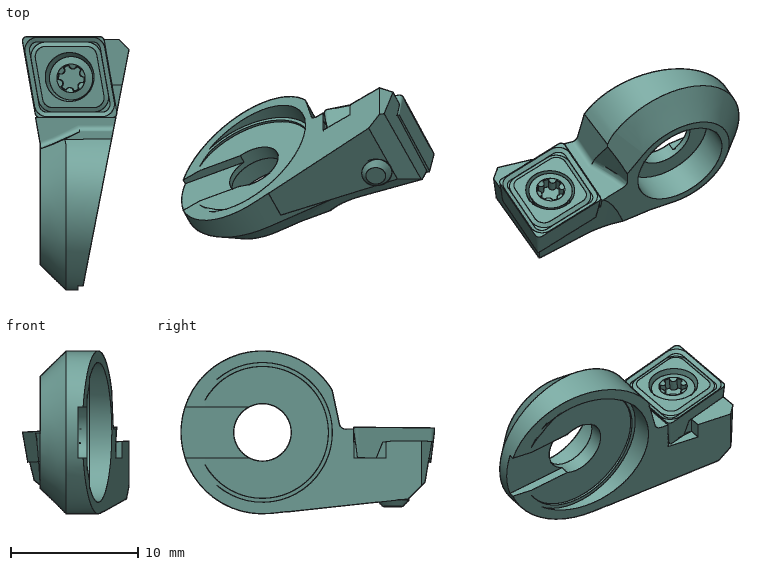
import cadquery as cq
import math

OVERALL_LENGTH = 19.9

RING_DIAMETER = 12.8
RING_RADIUS = RING_DIAMETER / 2
FACE_RADIUS = 4.4
BEVEL_DEPTH = 2.05
FRONT_BORE_DIAMETER = 7.5
FRONT_BORE_DEPTH = 2.5
CENTRE_HOLE_DIAMETER = 4.5
REAR_BORE_DIAMETER = 10.96
REAR_STEP_DIAMETER = 10.35
REAR_FLOOR_X = 3.68
REAR_STEP_X = 3.86
SHOULDER_ANGLE = 43.0
FOOT_ANGLE = 6.2
SHOULDER_LENGTH = 3.98
FOOT_LENGTH = 9.95

REAR_SLANT = 11.0
REAR_X = 4.55
KEY_WIDTH = 4.02
RING_KEY_X = 2.98
ARM_KEY_X = 5.61
ARM_KEY_START = 7.16
ARM_KEY_END = 9.7

ARM_ROOT = 1.99
ARM_LEFT_START = 5.07
ARM_LENGTH = 13.31
ARM_BLANK_TOP = 1.0
ARM_END_RAKE = 9.4
ARM_CORNER_CHAMFER = 0.84
END_BEVEL_Y = 12.75
END_BEVEL_Z = -3.92
END_BEVEL = 1.3
KEEL_Z = -4.14
KEEL_SLOPE = 0.8
PLATE_DROP = 1.0
SEAT_TILT = 3.0
SEAT_Z = -0.04

WALL_ARC_START = (-2.98, 4.02)
WALL_ARC_MIDDLE = (1.6, 5.27)
WALL_ARC_END = (4.98, 7.25)
WALL_RIGHT_Y = 6.13
WALL_RIGHT_RAKE = 12.0
WALL_FILLET = 0.5

SCOOP_RADIUS = 4.38
SCOOP_X = 0.1
SCOOP_Y = 7.96
SCOOP_Z = -2.39
SCOOP_DRAFT = 12.5

INSERT_TIP_Y = OVERALL_LENGTH - RING_RADIUS
INSERT_TIP_X = -1.45
INSERT_WIDTH = 6.35
INSERT_SKEW = 10.0
INSERT_THICKNESS = 2.39
INSERT_PROUD = 0.14
INSERT_RELIEF = 7.0
NOSE_RADIUS = 0.35
LAND_WIDTH = 0.05
GROOVE_DEPTH = 0.15
GROOVE_TAPER = 66.0
GROOVE_CORNER = 1.0
PLATEAU_INSET = 0.78
PLATEAU_TAPER = 65.0
PLATEAU_CORNER = 0.8
INSERT_HOLE_DIAMETER = 3.85
INSERT_HOLE_DEPTH = 1.2
INSERT_WAIST_DIAMETER = 3.12
SHANK_HOLE_DIAMETER = 2.8

SCREW_OFFSET = 0.1
HEAD_DIAMETER = 3.4
HEAD_BASE_DIAMETER = 2.8
HEAD_SINK = 0.25
HEAD_CROWN = 0.15
SHANK_DIAMETER = 2.5
SCREW_TIP_Z = -5.91
TIP_CHAMFER = 0.48
SOCKET_DIAMETER = 2.05
SOCKET_MOUTH_DIAMETER = 2.23
MOUTH_FLOOR_DIAMETER = 1.5
MOUTH_DEPTH = 0.14
SOCKET_DEPTH = 1.0
LOBE_COUNT = 6
FLUTE_RADIUS = 0.3
FLUTE_CENTRE = 1.03
FLUTE_ANGLE = 23.0

FAR = 23.88


def slope(angle):
    return math.tan(math.radians(angle))


SKEW = slope(INSERT_SKEW)
INSERT_SIDE = INSERT_WIDTH / math.cos(math.radians(INSERT_SKEW))
INSERT_BACK_Y = INSERT_TIP_Y - INSERT_WIDTH
INSERT_X = INSERT_TIP_X + (INSERT_SIDE + INSERT_WIDTH * SKEW) / 2
INSERT_Y = INSERT_TIP_Y - INSERT_WIDTH / 2


def seated(body):
    """Tilt a body from the level seat frame into place."""
    tilted = body.rotate((0, 0, 0), (0, 1, 0), -SEAT_TILT)
    return tilted.translate((0, 0, SEAT_Z))


def x_cylinder(diameter, start, end):
    return cq.Workplane("YZ", origin=(start, 0, 0)).circle(diameter / 2).extrude(end - start)


def ring_section():
    """Half section of the ring: X along, radius up."""
    outline = [(0, 0), (0, FACE_RADIUS), (BEVEL_DEPTH, RING_RADIUS), (FAR / 2, RING_RADIUS), (FAR / 2, 0)]
    return cq.Workplane("XY").polyline(outline).close()


def straight_rim(turn, length):
    """The ring section carried straight on along a tangent, turned about X."""
    return ring_section().extrude(length).rotate((0, 0, 0), (1, 0, 0), turn)


def arm():
    """Side outline crossed with the plan outline, bevelled along the lower flank."""
    keel_end = (END_BEVEL_Y - END_BEVEL, END_BEVEL_Z - END_BEVEL)
    root_z = keel_end[1] - (keel_end[0] - ARM_ROOT) * slope(FOOT_ANGLE)
    rake = (ARM_BLANK_TOP - END_BEVEL_Z) * slope(ARM_END_RAKE)
    side = [(ARM_ROOT, root_z), keel_end, (END_BEVEL_Y, END_BEVEL_Z),
            (END_BEVEL_Y + rake, ARM_BLANK_TOP), (ARM_ROOT, ARM_BLANK_TOP)]
    body = cq.Workplane("YZ", origin=(-FAR / 2, 0, 0)).polyline(side).close().extrude(FAR)

    end_left_x = -(ARM_LENGTH - ARM_LEFT_START) * SKEW
    corner_y = ARM_LENGTH - ARM_CORNER_CHAMFER
    corner_x = REAR_X + corner_y * slope(REAR_SLANT)
    plan = [(0, ARM_ROOT), (0, ARM_LEFT_START), (end_left_x, ARM_LENGTH),
            (corner_x - ARM_CORNER_CHAMFER, ARM_LENGTH), (corner_x, corner_y), (corner_x, ARM_ROOT)]
    body = body.intersect(cq.Workplane("XY", origin=(0, 0, -FAR / 2)).polyline(plan).close().extrude(FAR))

    reach = FAR / 2
    keel = [(-reach, KEEL_Z + reach * KEEL_SLOPE), (reach, KEEL_Z - reach * KEEL_SLOPE), (-reach, -FAR)]
    return body.cut(cq.Workplane("XZ").polyline(keel).close().extrude(-FAR))


def arm_top_clearance():
    """Everything above the arm, up to the curved and raked step walls and their root fillet."""
    reach = FAR / 2
    left_part = (
        cq.Workplane("XY")
        .moveTo(*WALL_ARC_START)
        .threePointArc(WALL_ARC_MIDDLE, WALL_ARC_END)
        .lineTo(WALL_ARC_END[0], FAR)
        .lineTo(WALL_ARC_START[0], FAR)
        .close()
        .extrude(reach)
    )
    lean = reach * slope(WALL_RIGHT_RAKE)
    right = [(WALL_RIGHT_Y, 0), (WALL_RIGHT_Y - lean, reach), (FAR, reach), (FAR, 0)]
    right_part = cq.Workplane("YZ", origin=(-reach, 0, 0)).polyline(right).close().extrude(FAR)
    return left_part.union(right_part).faces("<Z").edges().fillet(WALL_FILLET)


def flank_scoop():
    """Drafted flat parallel to the insert edge, running out in a round scoop."""
    skew = math.radians(INSERT_SKEW)
    centre = (-SCOOP_RADIUS * math.cos(skew), -SCOOP_RADIUS * math.sin(skew))
    arc_end = (centre[0], centre[1] - SCOOP_RADIUS)
    middle_angle = skew / 2 - math.pi / 4
    arc_middle = (centre[0] + SCOOP_RADIUS * math.cos(middle_angle),
                  centre[1] + SCOOP_RADIUS * math.sin(middle_angle))
    reach = FAR / 3
    scoop = (
        cq.Workplane("XY")
        .moveTo(-reach * SKEW, reach)
        .lineTo(0, 0)
        .threePointArc(arc_middle, arc_end)
        .lineTo(-reach, arc_end[1])
        .lineTo(-reach, reach)
        .close()
        .extrude(reach, both=True)
    )
    return scoop.rotate((0, 0, 0), (0, 1, 0), -SCOOP_DRAFT).translate((SCOOP_X, SCOOP_Y, SCOOP_Z))


def behind_rear_plane():
    reach = FAR * slope(REAR_SLANT)
    plan = [(REAR_X - reach, -FAR), (REAR_X + reach, FAR), (FAR, FAR), (FAR, -FAR)]
    return cq.Workplane("XY", origin=(0, 0, -FAR / 2)).polyline(plan).close().extrude(FAR)


def key_slot(floor_x, start_y, end_y):
    size = (FAR, end_y - start_y, KEY_WIDTH)
    return cq.Workplane("XY", origin=(floor_x, start_y, -KEY_WIDTH / 2)).box(*size, centered=False)


def ledge_clearance():
    """Drops the arm top beside the insert to the ledge."""
    corner = (-FAR / 2, INSERT_BACK_Y, -PLATE_DROP)
    return cq.Workplane("XY", origin=corner).box(FAR, FAR, FAR, centered=False)


def make_holder():
    body = ring_section().revolve(360, (0, 0, 0), (1, 0, 0))
    shoulder = straight_rim(SHOULDER_ANGLE, -SHOULDER_LENGTH)
    body = body.union(shoulder.intersect(x_cylinder(RING_DIAMETER, 0, FAR / 2)))
    body = body.union(straight_rim(FOOT_ANGLE - 90, FOOT_LENGTH))
    body = body.union(arm())

    body = body.cut(seated(arm_top_clearance()))
    body = body.cut(flank_scoop())
    body = body.cut(behind_rear_plane())

    body = body.cut(x_cylinder(FRONT_BORE_DIAMETER, 0, FRONT_BORE_DEPTH))
    body = body.cut(x_cylinder(CENTRE_HOLE_DIAMETER, 0, FAR))
    body = body.cut(x_cylinder(REAR_STEP_DIAMETER, REAR_FLOOR_X, FAR))
    body = body.cut(x_cylinder(REAR_BORE_DIAMETER, REAR_STEP_X, FAR))

    body = body.cut(key_slot(RING_KEY_X, -FAR, 0))
    body = body.cut(key_slot(ARM_KEY_X, ARM_KEY_START, ARM_KEY_END))

    body = body.cut(seated(ledge_clearance()))
    body = body.cut(seated(insert_blank()))
    return body.cut(seated(screw_shank()))


def diamond(inset, corner_radius, top):
    """Rounded insert outline, moved inward by inset, at the given height."""
    half_width = INSERT_WIDTH / 2 - inset
    half_side = half_width / math.cos(math.radians(INSERT_SKEW))
    shift = half_width * SKEW
    corners = [(-half_side - shift, half_width), (half_side - shift, half_width),
               (half_side + shift, -half_width), (-half_side + shift, -half_width),
               (-half_side - shift, half_width)]
    outline = cq.Sketch().polygon(corners).vertices().fillet(corner_radius)
    return cq.Workplane("XY", origin=(INSERT_X, INSERT_Y, top)).placeSketch(outline)


def insert_blank():
    return diamond(0, NOSE_RADIUS, INSERT_PROUD).extrude(-INSERT_THICKNESS, taper=INSERT_RELIEF)


def chip_groove():
    """V groove round the top face, leaving a rounded plateau in the middle."""
    trough = diamond(LAND_WIDTH, GROOVE_CORNER, INSERT_PROUD).extrude(-GROOVE_DEPTH, taper=GROOVE_TAPER)
    plateau_top = diamond(PLATEAU_INSET, PLATEAU_CORNER, INSERT_PROUD)
    plateau = plateau_top.extrude(-GROOVE_DEPTH, taper=-PLATEAU_TAPER)
    return trough.cut(plateau)


def insert_cylinder(diameter, top, depth, offset=0.0):
    centre = (INSERT_X + offset, INSERT_Y - offset, top)
    return cq.Workplane("XY", origin=centre).circle(diameter / 2).extrude(-depth)


def insert_cone(top_diameter, bottom_diameter, top, depth, offset=0.0):
    centre = (INSERT_X + offset, INSERT_Y - offset, top)
    top_circle = cq.Workplane("XY", origin=centre).circle(top_diameter / 2)
    return top_circle.workplane(offset=-depth).circle(bottom_diameter / 2).loft(ruled=True)


def make_insert():
    body = insert_blank().cut(chip_groove())
    body = body.cut(insert_cone(INSERT_HOLE_DIAMETER, INSERT_WAIST_DIAMETER, INSERT_PROUD, INSERT_HOLE_DEPTH))
    return seated(body.cut(insert_cylinder(SHANK_HOLE_DIAMETER, INSERT_PROUD, INSERT_THICKNESS)))


HEAD_SEAT = INSERT_PROUD - INSERT_HOLE_DEPTH
HEAD_EDGE = INSERT_PROUD - HEAD_SINK
HEAD_TOP = HEAD_EDGE + HEAD_CROWN


def screw_shank():
    shank = insert_cylinder(SHANK_DIAMETER, HEAD_SEAT, HEAD_SEAT - SCREW_TIP_Z, SCREW_OFFSET)
    return shank.faces("<Z").chamfer(TIP_CHAMFER)


def screw_head():
    """Tapered head with a low conical crown."""
    head = insert_cone(HEAD_DIAMETER, HEAD_BASE_DIAMETER, HEAD_EDGE, HEAD_EDGE - HEAD_SEAT, SCREW_OFFSET)
    crown = insert_cone(SOCKET_MOUTH_DIAMETER, HEAD_DIAMETER, HEAD_TOP, HEAD_CROWN, SCREW_OFFSET)
    return head.union(crown)


def socket():
    """Six-lobe socket with a shallow conical mouth."""
    recess = insert_cylinder(SOCKET_DIAMETER, HEAD_TOP, SOCKET_DEPTH, SCREW_OFFSET)
    flutes = (
        cq.Workplane("XY", origin=(INSERT_X + SCREW_OFFSET, INSERT_Y - SCREW_OFFSET, HEAD_TOP))
        .transformed(rotate=(0, 0, FLUTE_ANGLE))
        .polarArray(FLUTE_CENTRE, 0, 360, LOBE_COUNT)
        .circle(FLUTE_RADIUS)
        .extrude(-SOCKET_DEPTH)
    )
    mouth = insert_cone(SOCKET_MOUTH_DIAMETER, MOUTH_FLOOR_DIAMETER, HEAD_TOP, MOUTH_DEPTH, SCREW_OFFSET)
    return recess.cut(flutes).union(mouth)


def make_screw():
    return seated(screw_shank().union(screw_head()).cut(socket()))


holder = make_holder()
insert = make_insert()
screw = make_screw()

bodies = [holder, insert, screw]
result = cq.Compound.makeCompound([body.solids().val() for body in bodies])